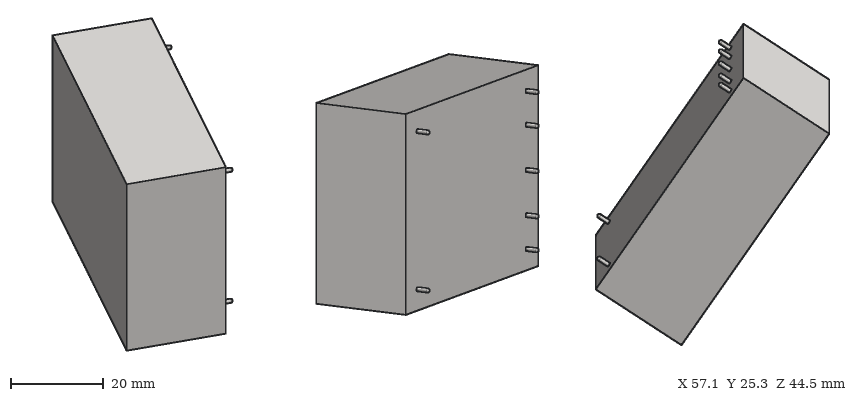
import cadquery as cq

HOUSING_LENGTH = 57.15
HOUSING_HEIGHT = 44.45
TOTAL_DEPTH = 25.3

PIN_DIAMETER = 1.0
PIN_SHANK_LENGTH = 2.45
PIN_RADIUS = PIN_DIAMETER / 2
PIN_LENGTH = PIN_SHANK_LENGTH + PIN_RADIUS

PIN_COLUMN_X = 23.5
INNER_ROW_Z = 10.0
OUTER_ROW_Z = 17.5

LEFT_COLUMN_ROWS = [-OUTER_ROW_Z, -INNER_ROW_Z, 0, INNER_ROW_Z, OUTER_ROW_Z]
RIGHT_COLUMN_ROWS = [-OUTER_ROW_Z, OUTER_ROW_Z]

HOUSING_DEPTH = TOTAL_DEPTH - PIN_LENGTH


def make_housing():
    """Plain rectangular block, centred in X and Z, reaching forward from the rear face."""
    block = cq.Workplane("XY").box(HOUSING_LENGTH, HOUSING_DEPTH, HOUSING_HEIGHT)
    return block.translate((0, -HOUSING_DEPTH / 2, 0))


def make_pin(x, z):
    """Round pin revolved about Y, its flat end on the rear face and its domed tip toward +Y."""
    arc_middle = PIN_RADIUS * 0.5 ** 0.5
    profile = (
        cq.Workplane("XY")
        .lineTo(PIN_RADIUS, 0)
        .lineTo(PIN_RADIUS, PIN_SHANK_LENGTH)
        .threePointArc((arc_middle, PIN_SHANK_LENGTH + arc_middle), (0, PIN_LENGTH))
        .close()
    )
    return profile.revolve(360, (0, 0, 0), (0, 1, 0)).translate((x, 0, z))


housing = make_housing()

pins = []
for z in LEFT_COLUMN_ROWS:
    pins.append(make_pin(-PIN_COLUMN_X, z))
for z in RIGHT_COLUMN_ROWS:
    pins.append(make_pin(PIN_COLUMN_X, z))

result = cq.Compound.makeCompound([housing.val(), *[pin.val() for pin in pins]])